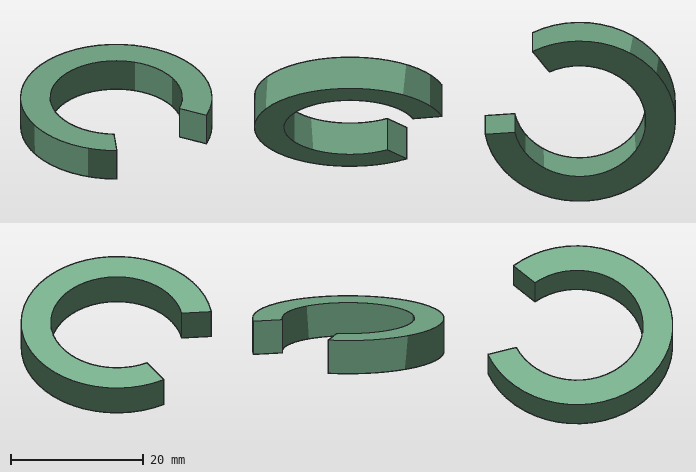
import cadquery as cq
import math

outer_radius = 14.5
inner_radius = 10.0
thickness = 5.2

gap_angle = 60.0
apex_offset = 2.5

wedge_length = 2 * outer_radius
wedge_half_width = wedge_length * math.tan(math.radians(gap_angle / 2))


def make_ring():
    return cq.Workplane("XY").circle(outer_radius).circle(inner_radius).extrude(thickness)


def make_gap_wedge():
    wedge_end = wedge_length - apex_offset
    return (
        cq.Workplane("XY")
        .moveTo(-apex_offset, 0)
        .lineTo(wedge_end, -wedge_half_width)
        .lineTo(wedge_end, wedge_half_width)
        .close()
        .extrude(thickness)
    )


result = make_ring().cut(make_gap_wedge())